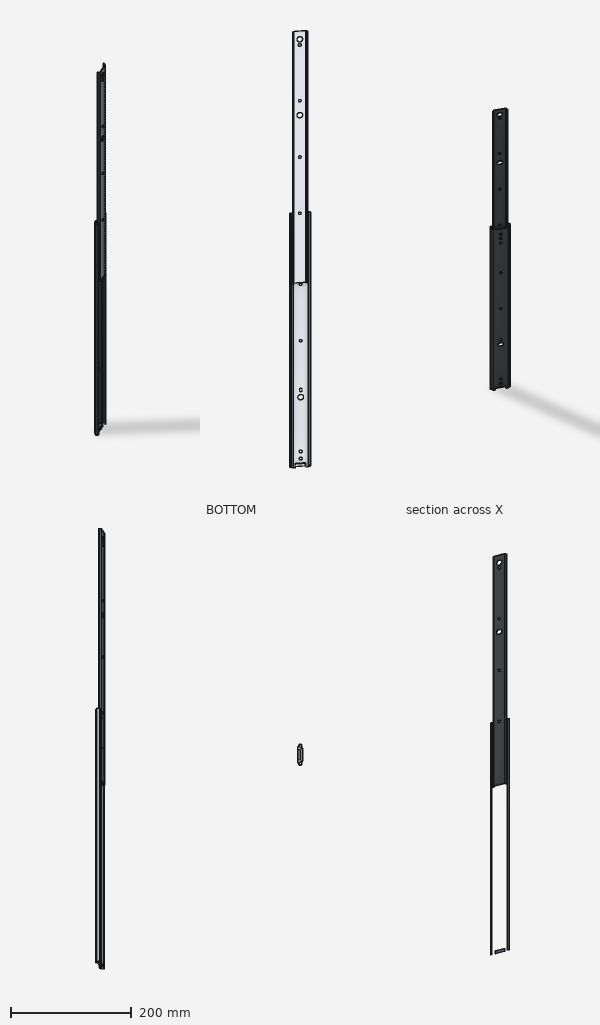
import cadquery as cq

OVERALL_LENGTH = 785.35
OVERALL_DEPTH = 9.6
SHEET = 1.2

OUTER_LENGTH = 458.0
OUTER_WIDTH = 35.3
OUTER_BEVEL = 2.0
RACE_RADIUS = 3.0
OUTER_DEPTH = OUTER_BEVEL + 2 * RACE_RADIUS
OUTER_MOUTH = 28.0

INNER_LENGTH = 455.0
INNER_WIDTH = 26.0
INNER_WEB_WIDTH = 20.5
INNER_DEPTH = 5.0
INNER_SLOPE_DEPTH = 3.4
INNER_MOUTH = 22.5
INNER_BOTTOM = OVERALL_LENGTH - INNER_LENGTH

NOTCH_WIDTH = 17.5
TOP_NOTCH = 2.5
BOTTOM_NOTCH = 4.5
TAB_DEPTH = 6.0

MOUNTING_DIAMETER = 9.5
SCREW_DIAMETER = 5.2
PIN_DIAMETER = 4.6

SLOT_WIDTH = 4.0
SLOT_LENGTH = 6.2
SLOT_HEIGHT = 140.0

OUTER_MOUNTING_HEIGHTS = [127.0]
OUTER_SCREW_HEIGHTS = [16.0, 28.8, 429.0, 440.8]
OUTER_PIN_HEIGHTS = [229.0, 331.0, 416.0]

INNER_MOUNTING_DROPS = [15.0, 152.2]
INNER_SCREW_DROPS = [25.2]
INNER_PIN_DROPS = [126.0, 228.0, 329.5]


def outer_outline(bottom):
    """Outline of the outer rail as if its mouth were closed."""
    half_width = OUTER_WIDTH / 2
    race_y = half_width - RACE_RADIUS
    race_x = OUTER_BEVEL + RACE_RADIUS
    web_y = race_y - OUTER_BEVEL
    return (
        cq.Workplane("XY", origin=(0, 0, bottom))
        .moveTo(0, -web_y)
        .lineTo(0, web_y)
        .lineTo(OUTER_BEVEL, race_y)
        .threePointArc((race_x, half_width), (OUTER_DEPTH, race_y))
        .lineTo(OUTER_DEPTH, -race_y)
        .threePointArc((race_x, -half_width), (OUTER_BEVEL, -race_y))
        .close()
    )


def inner_outline(bottom):
    """Outline of the inner rail as if its mouth were closed."""
    rim_x = OVERALL_DEPTH - INNER_DEPTH
    slope_x = OVERALL_DEPTH - INNER_SLOPE_DEPTH
    half = [
        (OVERALL_DEPTH, INNER_WEB_WIDTH / 2),
        (slope_x, INNER_WIDTH / 2),
        (rim_x, INNER_WIDTH / 2),
    ]
    mirrored = [(x, -y) for x, y in reversed(half)]
    return cq.Workplane("XY", origin=(0, 0, bottom)).polyline(half + mirrored).close()


def channel(outline, rim_x, mouth, length, bottom):
    """A rail of sheet along the outline, open at its rim between lips turned inward."""
    hollow = outline(bottom).offset2D(-SHEET, "intersection").extrude(length)
    opening = cq.Workplane("XY", origin=(rim_x, 0, bottom)).rect(2 * SHEET, mouth).extrude(length)
    return outline(bottom).extrude(length).cut(hollow).cut(opening)


def cut_holes(rail, heights, diameter):
    centres = [(0, z) for z in heights]
    holes = cq.Workplane("YZ").pushPoints(centres).circle(diameter / 2).extrude(OVERALL_DEPTH)
    return rail.cut(holes)


def cut_slot(rail):
    slot = cq.Workplane("YZ").center(0, SLOT_HEIGHT).slot2D(SLOT_LENGTH, SLOT_WIDTH, 90)
    return rail.cut(slot.extrude(OVERALL_DEPTH))


def cut_notch(rail, bottom, height):
    notch = cq.Workplane("XY", origin=(0, 0, bottom)).rect(2 * SHEET, NOTCH_WIDTH).extrude(height)
    return rail.cut(notch)


def stop_tab():
    """The foot of the outer web, stepped into the channel: a ledge above an upright plate."""
    plate_x = TAB_DEPTH - SHEET
    ledge_top = BOTTOM_NOTCH + SHEET
    section = [
        (0, BOTTOM_NOTCH),
        (plate_x, BOTTOM_NOTCH),
        (plate_x, 0),
        (TAB_DEPTH, 0),
        (TAB_DEPTH, ledge_top),
        (0, ledge_top),
    ]
    plane = cq.Workplane("XZ", origin=(0, NOTCH_WIDTH / 2, 0))
    return plane.polyline(section).close().extrude(NOTCH_WIDTH)


def make_outer_rail():
    rail = channel(outer_outline, OUTER_DEPTH, OUTER_MOUTH, OUTER_LENGTH, 0)
    rail = cut_holes(rail, OUTER_MOUNTING_HEIGHTS, MOUNTING_DIAMETER)
    rail = cut_holes(rail, OUTER_SCREW_HEIGHTS, SCREW_DIAMETER)
    rail = cut_holes(rail, OUTER_PIN_HEIGHTS, PIN_DIAMETER)
    rail = cut_slot(rail)
    rail = cut_notch(rail, OUTER_LENGTH - TOP_NOTCH, TOP_NOTCH)
    rail = cut_notch(rail, 0, BOTTOM_NOTCH)
    return rail.union(stop_tab())


def make_inner_rail():
    rail = channel(
        inner_outline, OVERALL_DEPTH - INNER_DEPTH, INNER_MOUTH, INNER_LENGTH, INNER_BOTTOM
    )
    for drops, diameter in [
        (INNER_MOUNTING_DROPS, MOUNTING_DIAMETER),
        (INNER_SCREW_DROPS, SCREW_DIAMETER),
        (INNER_PIN_DROPS, PIN_DIAMETER),
    ]:
        rail = cut_holes(rail, [OVERALL_LENGTH - drop for drop in drops], diameter)
    return rail


outer_rail = make_outer_rail()
inner_rail = make_inner_rail()
result = cq.Compound.makeCompound([outer_rail.solids().val(), inner_rail.solids().val()])